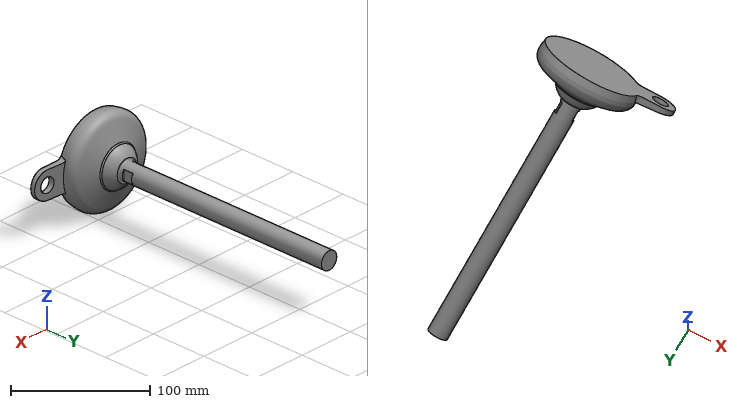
import cadquery as cq
import math

total_length = 231.5

rim_radius = 40.0
bottom_radius = 39.1
rim_start = 5.8
rim_end = 9.3
shoulder_radius = 34.7
shoulder_height = 16.0
cone_top_radius = 19.0
cone_top_height = 22.0
joint_radius = 18.0
joint_height = 23.2

lug_center = 55.5
lug_radius = 12.5
lug_hole_diameter = 13.0
lug_tip_height = 4.0
lug_fillet = 5.8

rod_diameter = 16.0
rod_radius = rod_diameter / 2
head_top_radius = 10.2
head_top_height = 30.8
root_fillet = 1.0
flat_start = 33.8
flat_length = 9.0
flat_half_width = 6.5


def make_lug():
    """Lug with rounded end, blended into the disc, with a top sloping to the tip."""
    lug_tip = lug_center + lug_radius
    arm_offset = lug_radius + lug_fillet
    blend_x = math.sqrt((bottom_radius + lug_fillet) ** 2 - arm_offset ** 2)
    touch_scale = bottom_radius / (bottom_radius + lug_fillet)
    touch_x = blend_x * touch_scale
    touch_z = arm_offset * touch_scale
    toward_disc = math.atan2(-arm_offset, -blend_x)
    middle_angle = (toward_disc - math.pi / 2) / 2
    middle_x = blend_x + lug_fillet * math.cos(middle_angle)
    middle_z = arm_offset + lug_fillet * math.sin(middle_angle)
    outline = (
        cq.Workplane("XZ")
        .moveTo(touch_x, touch_z)
        .threePointArc((middle_x, middle_z), (blend_x, lug_radius))
        .lineTo(lug_center, lug_radius)
        .threePointArc((lug_tip, 0), (lug_center, -lug_radius))
        .lineTo(blend_x, -lug_radius)
        .threePointArc((middle_x, -middle_z), (touch_x, -touch_z))
        .lineTo(0, 0)
        .close()
        .extrude(-rim_start)
    )
    side_profile = (
        cq.Workplane("XY")
        .polyline([(0, 0), (lug_tip, 0), (lug_tip, lug_tip_height), (rim_radius, rim_start), (0, rim_start)])
        .close()
        .extrude(arm_offset, both=True)
    )
    return outline.intersect(side_profile)


def make_foot():
    """Revolved disc and cone with the lug joined on and drilled."""
    disc = (
        cq.Workplane("XY")
        .moveTo(0, 0)
        .lineTo(0, joint_height)
        .lineTo(joint_radius, joint_height)
        .lineTo(cone_top_radius, cone_top_height)
        .lineTo(shoulder_radius, shoulder_height)
        .tangentArcPoint((rim_radius, rim_end), relative=False)
        .lineTo(rim_radius, rim_start)
        .lineTo(bottom_radius, 0)
        .close()
        .revolve(360, (0, 0, 0), (0, 1, 0))
    )
    hole = cq.Workplane("XZ").center(lug_center, 0).circle(lug_hole_diameter / 2).extrude(-rim_start)
    return disc.union(make_lug()).cut(hole)


def make_spindle():
    """Rod with a spherical head standing on the foot, and a flat on each X side."""
    middle_height = (joint_height + head_top_height) / 2
    ball_center = middle_height - (joint_radius**2 - head_top_radius**2) / (
        2 * (head_top_height - joint_height)
    )
    ball_radius = math.hypot(joint_radius, joint_height - ball_center)
    arc_radius = math.sqrt(ball_radius**2 - (middle_height - ball_center) ** 2)
    fillet_inset = root_fillet * (1 - math.sqrt(0.5))
    spindle = (
        cq.Workplane("XY")
        .moveTo(0, joint_height)
        .lineTo(joint_radius, joint_height)
        .threePointArc((arc_radius, middle_height), (head_top_radius, head_top_height))
        .lineTo(rod_radius + root_fillet, head_top_height)
        .threePointArc(
            (rod_radius + fillet_inset, head_top_height + fillet_inset),
            (rod_radius, head_top_height + root_fillet),
        )
        .lineTo(rod_radius, total_length)
        .lineTo(0, total_length)
        .close()
        .revolve(360, (0, 0, 0), (0, 1, 0))
    )
    for side in (-1, 1):
        flat_cut = cq.Workplane("XY").box(rod_radius, flat_length, 2 * rod_radius).translate(
            (side * (flat_half_width + rod_radius / 2), flat_start + flat_length / 2, 0)
        )
        spindle = spindle.cut(flat_cut)
    return spindle


foot = make_foot()
spindle = make_spindle()

result = cq.Compound.makeCompound([foot.val(), spindle.val()])